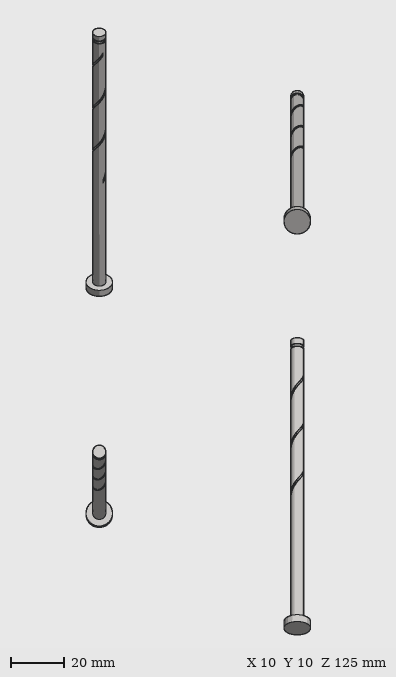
import cadquery as cq

total_length = 125.0
pin_radius = 2.5
head_radius = 5.0
head_thickness = 3.0

ring_groove_width = 1.1
ring_groove_radius = 2.1
tip_length = 2.5

spiral_pitch = 20.8
spiral_turns = 3
spiral_start = 53.6
spiral_depth = 0.2
spiral_width = 1.1
cutter_overhang = 0.2


def headed_pin():
    head = cq.Workplane("XY").circle(head_radius).extrude(head_thickness)
    pin = cq.Workplane("XY").circle(pin_radius).extrude(total_length)
    return head.union(pin)


def ring_groove_cutter():
    groove_bottom = total_length - tip_length - ring_groove_width
    return (
        cq.Workplane("XY", origin=(0, 0, groove_bottom))
        .circle(head_radius)
        .circle(ring_groove_radius)
        .extrude(ring_groove_width)
    )


def spiral_cutter():
    path = cq.Wire.makeHelix(
        spiral_pitch,
        spiral_turns * spiral_pitch,
        pin_radius,
        center=cq.Vector(0, 0, spiral_start),
    )
    radial_size = spiral_depth + cutter_overhang
    section_center = pin_radius - spiral_depth + radial_size / 2
    return (
        cq.Workplane("XZ")
        .center(section_center, spiral_start)
        .rect(radial_size, spiral_width)
        .sweep(cq.Workplane(obj=path), isFrenet=True)
    )


result = headed_pin().cut(ring_groove_cutter()).cut(spiral_cutter())